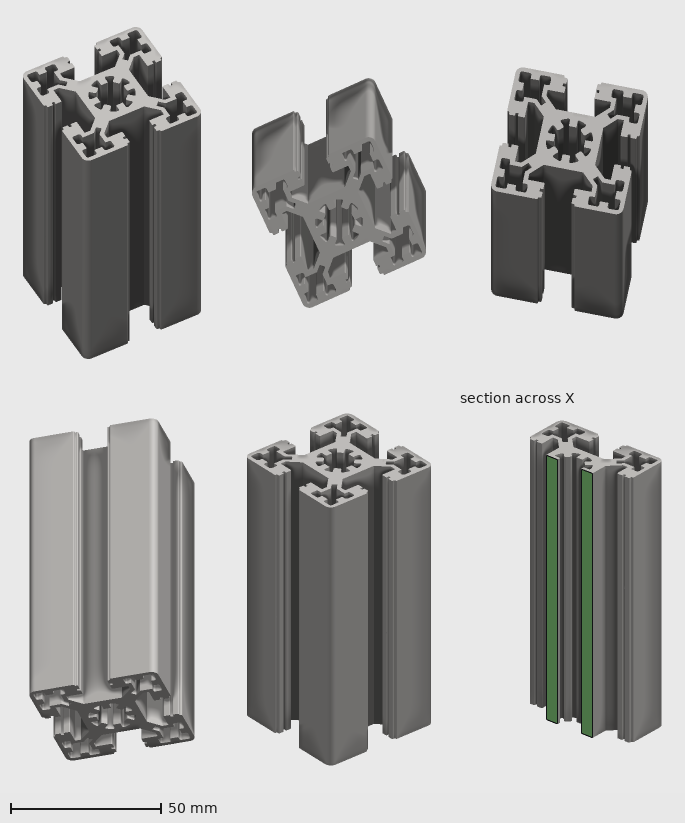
import cadquery as cq
import math

width = 45.0
length = 100.0
corner_radius = 2.5
tolerance = 0.01
half_width = width / 2

mouth_half = 5.1
lip_depth = 6.2
cavity_half = 10.8
shoulder = 14.2
core_half = 10.1
lip_step_width = 1.1
lip_step_depth = 0.8
lip_groove_width = 1.0
lip_groove_depth = 1.1
lip_groove_center = 3.4
lip_radius = 0.35
lip_groove_radius = 0.2
floor_half = 6.7

wall = 1.5
web = 1.5
rib_width = 2.9
rib_height = 2.0
rib_tip_radius = 0.2
pocket_end = 10.4
pocket_depth = 3.1
pocket_radius = 0.7
neck_offset = 1.4
neck_radius = 0.2

bore_radius = 7.9
tooth_tip = 5.1
tooth_width = 2.6
tooth_count = 8
tooth_root_radius = 0.5
tooth_tip_radius = 0.2
diagonal_tip_radius = 0.6

step_half = mouth_half + lip_step_width
chamber_outer = half_width - wall
chamber_inner = cavity_half + web


def prism(points):
    return cq.Workplane("XY").polyline(points).close().extrude(length)


def box_between(x_min, x_max, y_min, y_max):
    return (
        cq.Workplane("XY")
        .center((x_min + x_max) / 2, (y_min + y_max) / 2)
        .rect(x_max - x_min, y_max - y_min)
        .extrude(length)
    )


def rounded_pocket(x_min, x_max, y_min, y_max):
    return box_between(x_min, x_max, y_min, y_max).edges("|Z").fillet(pocket_radius)


def round_corners(body, points, radius):
    """Fillet the upright edges of body at each point (x, y) and its mirror images (+/-x, +/-y)."""
    def is_listed(edge):
        edge_x = abs(edge.Center().x)
        edge_y = abs(edge.Center().y)
        return any(math.hypot(edge_x - x, edge_y - y) < tolerance for x, y in points)

    chosen = [edge for edge in body.edges("|Z").vals() if is_listed(edge)]
    return body.newObject(chosen).fillet(radius)


def slot():
    """Cutter for the T-slot in the +Y side."""
    groove_half = mouth_half + lip_groove_depth
    groove_y = half_width - lip_groove_center
    lip_y = half_width - lip_depth
    right_side = [
        (step_half, half_width),
        (step_half, half_width - lip_step_depth),
        (mouth_half, half_width - lip_step_depth),
        (mouth_half, groove_y + lip_groove_width / 2),
        (groove_half, groove_y + lip_groove_width / 2),
        (groove_half, groove_y - lip_groove_width / 2),
        (mouth_half, groove_y - lip_groove_width / 2),
        (mouth_half, lip_y),
        (cavity_half, lip_y),
        (cavity_half, shoulder),
        (floor_half, core_half),
    ]
    left_side = [(-x, y) for x, y in reversed(right_side)]
    body = prism(right_side + left_side)
    groove_corners = right_side[3:7]
    lip_corners = [
        (step_half, half_width - lip_step_depth),
        (mouth_half, half_width - lip_step_depth),
        (mouth_half, lip_y),
    ]
    body = round_corners(body, groove_corners, lip_groove_radius)
    return round_corners(body, lip_corners, lip_radius)


def corner_chamber():
    """Cutter for the hollow in the +X +Y corner."""
    rib_tip = chamber_outer - rib_height
    rib_center = (chamber_outer + pocket_end) / 2
    rib_start = rib_center - rib_width / 2
    rib_end = rib_center + rib_width / 2
    pocket_floor = chamber_outer - pocket_depth
    neck_end = [(pocket_end, pocket_end + neck_offset), (pocket_end + neck_offset, pocket_end)]
    neck = prism(neck_end + [
        (chamber_inner + 2 * neck_offset, chamber_inner + neck_offset),
        (chamber_inner + neck_offset, chamber_inner + 2 * neck_offset),
    ])
    neck = round_corners(neck, neck_end, neck_radius)
    chamber = (
        box_between(chamber_inner, rib_tip, chamber_inner, rib_tip)
        .union(rounded_pocket(rib_end, chamber_outer, rib_end, chamber_outer))
        .union(rounded_pocket(pocket_end, rib_start, pocket_floor, chamber_outer))
        .union(rounded_pocket(pocket_floor, chamber_outer, pocket_end, rib_start))
        .union(neck)
    )
    rib_corners = [
        (rib_start, rib_tip),
        (rib_end, rib_tip),
        (rib_tip, rib_start),
        (rib_tip, rib_end),
    ]
    return round_corners(chamber, rib_corners, rib_tip_radius)


def bore():
    """Cutter for the centre bore, with the teeth left standing."""
    cutter = cq.Workplane("XY").circle(bore_radius).extrude(length)
    tooth = box_between(tooth_tip, half_width, -tooth_width / 2, tooth_width / 2)
    for i in range(tooth_count):
        tooth_angle = i * 360 / tooth_count
        tip_radius = diagonal_tip_radius if i % 2 else tooth_tip_radius
        rounded_tooth = tooth.edges("|Z and <X").fillet(tip_radius)
        cutter = cutter.cut(rounded_tooth.rotate((0, 0, 0), (0, 0, 1), tooth_angle))
    roots = [
        edge for edge in cutter.edges("|Z").vals()
        if math.hypot(edge.Center().x, edge.Center().y) > bore_radius - tolerance
    ]
    return cutter.newObject(roots).fillet(tooth_root_radius)


result = cq.Workplane("XY").rect(width, width).extrude(length).edges("|Z").fillet(corner_radius)
for quarter in range(4):
    for cutter in (slot(), corner_chamber()):
        result = result.cut(cutter.rotate((0, 0, 0), (0, 0, 1), quarter * 90))
result = result.cut(bore())

lip_edges = [(step_half, half_width), (half_width, step_half)]
result = round_corners(result, lip_edges, lip_radius)